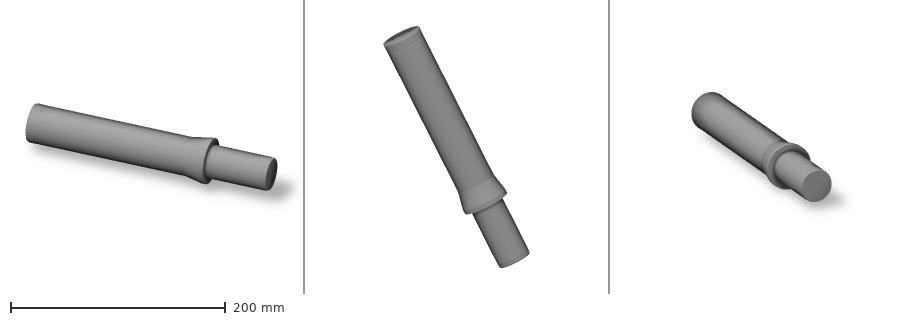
import cadquery as cq

total_length = 239.0
cap_length = 9.8
cap_face_bevel_length = 0.2
cap_rim_length = 1.7
flare_start = 157.0
flare_end = 174.2
collar_end = 178.5
neck_end = 180.0
journal_start = 181.0
journal_end = 235.0
tip_step_end = 236.0

cap_face_diameter = 32.7
cap_bevel_diameter = 36.3
cap_diameter = 37.5
handle_diameter = 37.0
collar_diameter = 44.0
journal_diameter = 32.0
neck_diameter = 31.5
tip_diameter = 31.5

handle_chamfer_length = 1.2
handle_chamfer_depth = 0.12
tip_chamfer_length = 1.2
tip_chamfer_depth = 0.5

groove_inner_diameter = 14.8
groove_outer_diameter = 21.0
groove_wall_width = 1.0
groove_depth = 0.2


def revolve_about_x(profile):
    """Turn a closed profile, drawn as (x, radius), into a solid around the X axis."""
    return profile.close().revolve(360, (0, 0, 0), (1, 0, 0))


def make_cap_groove():
    inner_radius = groove_inner_diameter / 2
    outer_radius = groove_outer_diameter / 2
    profile = (
        cq.Workplane("XY")
        .moveTo(0, inner_radius)
        .lineTo(groove_depth, inner_radius + groove_wall_width)
        .lineTo(groove_depth, outer_radius - groove_wall_width)
        .lineTo(0, outer_radius)
    )
    return revolve_about_x(profile)


def make_cap():
    """End cap: faint face bevel, chamfered rim, slight taper down to the handle, ring groove in its face."""
    profile = (
        cq.Workplane("XY")
        .lineTo(0, cap_face_diameter / 2)
        .lineTo(cap_face_bevel_length, cap_bevel_diameter / 2)
        .lineTo(cap_rim_length, cap_diameter / 2)
        .lineTo(cap_length, handle_diameter / 2)
        .lineTo(cap_length, 0)
    )
    return revolve_about_x(profile).cut(make_cap_groove())


def make_shaft():
    """Handle, flared collar, undercut neck, journal and stepped tip in one turned piece."""
    handle_radius = handle_diameter / 2
    collar_radius = collar_diameter / 2
    neck_radius = neck_diameter / 2
    journal_radius = journal_diameter / 2
    tip_radius = tip_diameter / 2
    profile = (
        cq.Workplane("XY")
        .moveTo(cap_length, 0)
        .lineTo(cap_length, handle_radius - handle_chamfer_depth)
        .lineTo(cap_length + handle_chamfer_length, handle_radius)
        .lineTo(flare_start, handle_radius)
        .lineTo(flare_end, collar_radius)
        .lineTo(collar_end, collar_radius)
        .lineTo(collar_end, neck_radius)
        .lineTo(neck_end, neck_radius)
        .lineTo(journal_start, journal_radius)
        .lineTo(journal_end, journal_radius)
        .lineTo(tip_step_end, tip_radius)
        .lineTo(total_length - tip_chamfer_length, tip_radius)
        .lineTo(total_length, tip_radius - tip_chamfer_depth)
        .lineTo(total_length, 0)
    )
    return revolve_about_x(profile)


cap = make_cap()
shaft = make_shaft()

result = cq.Compound.makeCompound([cap.val(), shaft.val()])